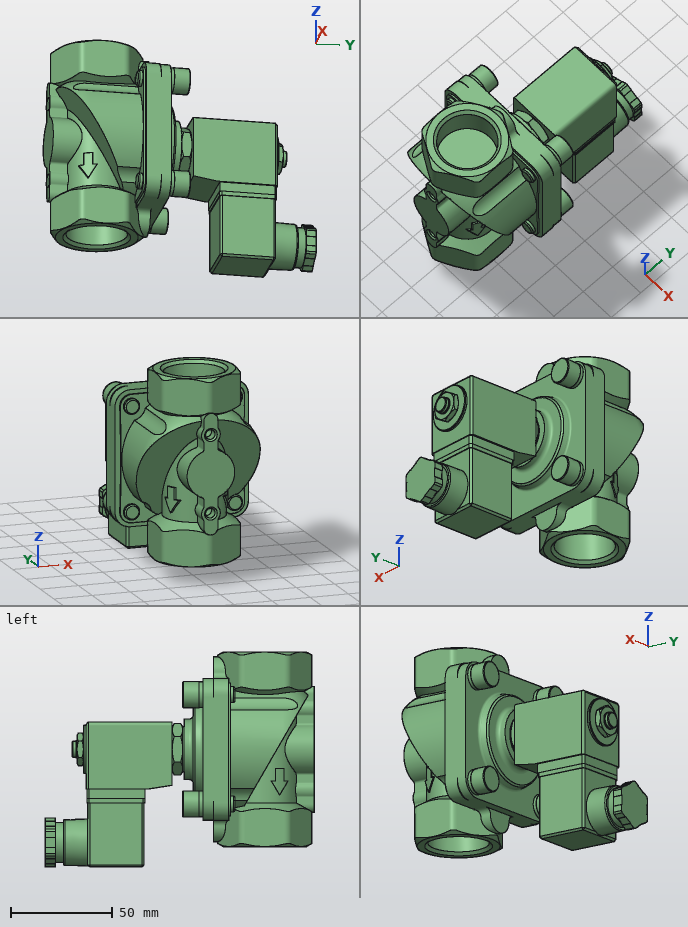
import cadquery as cq
import math


PORT_END = 48.1
PORT_NECK_END = 26.5
HEX_FLATS = 41.3
HEX_CORNER_R = 4.0
HEX_FACE_R = 20.5
HEX_CHAMFER_ANGLE = 30.0
PORT_BORE_D = 30.3
PORT_MOUTH_D = 33.5
PORT_MOUTH_DEPTH = 1.6
PORT_BORE_DEPTH = 16.5
TUBE_R = 16.0

CHAMBER_R = 31.9
CHAMBER_DOME_R = 17.3
CHAMBER_DOME_START = -9.3
CUT_Y = -6.0
CUT_ANGLE = 60.0

FLANGE_SIDE = 70.0
FLANGE_BOTTOM = 18.0
FLANGE_TOP = 25.4
COVER_TOP = 30.5
COVER_CORNER_R = 9.2
LIP_SIDE = 65.6
LIP_CORNER_R = 5.8
LIP_SIDE_HOLLOW = 0.7
LIP_BOTTOM = 16.9
SCREW_PITCH = 54.0
SCREW_HEAD_D = 13.0
SCREW_HEAD_TOP = 40.5
SCREW_HEAD_BOTTOM = 32.4
SCREW_PAD_D = 12.8
SCREW_END = 14.7
SCREW_D = 8.0
SCREW_END_CHAMFER = 0.7
SCREW_HEAD_CHAMFER = 0.4
SCREW_CLEARANCE_R = 7.7

LUG_HALF_WIDTH = 7.7
LUG_END = 45.7
LUG_FOOT_R = 3.0

DISC_R = 23.9
DISC_TAPER = 15.0
DISC_FOOT_FILLET = 1.2
DISC_TOP = 35.3
DISC_EDGE = 0.9
COLLAR_R = 15.0
COLLAR_TOP = 39.9
COLLAR_FILLET = 2.0
TUBE_NUT_FLATS = 22.0
TUBE_NUT_BOTTOM = 40.5
NECK_R = 11.2

BOSS_FACE = -24.5
BOSS_R = 12.5
BOSS_BAR_HALF = 3.7
BOSS_BAR_END = 31.1
BOSS_FILLET = 1.3
BOSS_HOLE_Z = 20.0
BOSS_HOLE_D = 4.9
BOSS_HOLE_MOUTH_D = 6.6
BOSS_HOLE_DEPTH = 6.0
BOSS_PAD_R = 4.9

ARROW_Y = -7.3
ARROW_R = 16.7
ARROW_TOP = -9.4
ARROW_NECK = -15.5
ARROW_TIP = -22.6
ARROW_SHAFT = 4.1
ARROW_HEAD = 8.4

COIL_WIDTH = 30.4
COIL_START = 45.7
COIL_END = 88.2
COIL_TOP = 13.5
COIL_BOTTOM = -19.7
COIL_SLOPE_Y = 57.5
COIL_FRONT_BOTTOM = -17.8
COIL_SIDE_R = 2.0
COIL_END_CHAMFER = 1.2
WASHER_R = 12.0
WASHER_TOP = 89.5
WASHER_CHAMFER = 0.4
END_NUT_FLATS = 14.1
END_NUT_TOP = 92.6
STUD_R = 4.0
STUD_BASE_R = 4.3
STUD_BASE_TOP = 93.3
STUD_TOP = 95.1
STUD_CHAMFER = 0.4

PLUG_WIDTH = 27.6
PLUG_START = 59.5
PLUG_END = 87.4
PLUG_TOP = -26.5
PLUG_BOTTOM = -58.0
PLUG_EDGE = 1.0
GASKET_TOP = -24.3
GASKET_MARGIN = 0.4
GLAND_Z = -46.0
GLAND_BASE_R = 11.7
GLAND_R = 11.4
GLAND_END = 99.4
GLAND_CHAMFER = 0.8
GLAND_NECK_D = 19.9
DIMPLE_D = 5.0
DIMPLE_Y = 95.7
DIMPLE_DEPTH = 0.4
CAP_START = 103.4
CAP_END = 108.4
CAP_FLATS = 21.5
CAP_CORNER_R = 12.1
CAP_RECESS_WIDTH = 4.8
CAP_RECESS_DEPTH = 0.3


def y_plane(y, z=0.0):
    """Workplane with local X along X, local Y along Z and extrusion toward +Y."""
    return cq.Workplane(cq.Plane(origin=(0, y, z), xDir=(-1, 0, 0), normal=(0, 1, 0)))


def y_disc(radius, start, end, z=0.0):
    return y_plane(start, z).circle(radius).extrude(end - start)


def hex_corner_d(flats):
    return flats / math.cos(math.radians(30))


def y_hexagon(flats, start, end):
    """Hexagonal bar along Y with two corners on the Z axis direction."""
    bar = y_plane(start).polygon(6, hex_corner_d(flats)).extrude(end - start)
    return bar.rotate((0, 0, 0), (0, 1, 0), 30)


def y_nut(flats, start, end):
    """Hexagonal nut along Y with its corners chamfered at both ends."""
    rise = (hex_corner_d(flats) - flats) / 2 * math.tan(math.radians(30))
    corner_r = hex_corner_d(flats) / 2
    profile = (
        cq.Workplane("XY")
        .moveTo(0, start)
        .lineTo(flats / 2, start)
        .lineTo(corner_r, start + rise)
        .lineTo(corner_r, end - rise)
        .lineTo(flats / 2, end)
        .lineTo(0, end)
        .close()
    )
    return y_hexagon(flats, start, end).intersect(profile.revolve(360, (0, 0, 0), (0, 1, 0)))


def port():
    """Upper hexagonal port, with the flow tube reaching down to the centre."""
    slope = math.tan(math.radians(HEX_CHAMFER_ANGLE))
    outer_r = hex_corner_d(HEX_FLATS) / 2
    envelope = (
        cq.Workplane("XZ")
        .moveTo(0, PORT_NECK_END)
        .lineTo(TUBE_R, PORT_NECK_END)
        .lineTo(outer_r, PORT_NECK_END + (outer_r - TUBE_R) * slope)
        .lineTo(outer_r, PORT_END - (outer_r - HEX_FACE_R) * slope)
        .lineTo(HEX_FACE_R, PORT_END)
        .lineTo(0, PORT_END)
        .close()
        .revolve(360, (0, 0, 0), (0, 1, 0))
    )
    hexagon = (
        cq.Workplane("XY")
        .workplane(offset=PORT_NECK_END)
        .polygon(6, hex_corner_d(HEX_FLATS))
        .extrude(PORT_END - PORT_NECK_END)
        .edges("|Z")
        .fillet(HEX_CORNER_R)
        .rotate((0, 0, 0), (0, 0, 1), 30)
    )
    tube = cq.Workplane("XY").circle(TUBE_R).extrude(PORT_NECK_END)
    return hexagon.intersect(envelope).union(tube)


def port_bore():
    """Blind bore with a chamfered mouth in the upper port."""
    return (
        cq.Workplane("XZ")
        .moveTo(0, PORT_END - PORT_BORE_DEPTH)
        .lineTo(PORT_BORE_D / 2, PORT_END - PORT_BORE_DEPTH)
        .lineTo(PORT_BORE_D / 2, PORT_END - PORT_MOUTH_DEPTH)
        .lineTo(PORT_MOUTH_D / 2, PORT_END)
        .lineTo(0, PORT_END)
        .close()
        .revolve(360, (0, 0, 0), (0, 1, 0))
    )


def both_ports(shape):
    """The shape and its mirror image below the solenoid axis."""
    return shape.union(shape.mirror("XY"))


def screw_points():
    half = SCREW_PITCH / 2
    return [(x, z) for x in (-half, half) for z in (-half, half)]


def chamber():
    """Domed cylinder cut by a sloping face, with a clearance groove beside each screw."""
    dome_end = CHAMBER_DOME_START - CHAMBER_DOME_R
    wall = y_disc(CHAMBER_R, dome_end, FLANGE_BOTTOM).faces("<Y").edges().fillet(CHAMBER_DOME_R)
    grooves = (
        y_plane(dome_end)
        .pushPoints(screw_points())
        .circle(SCREW_CLEARANCE_R)
        .extrude(LIP_BOTTOM - dome_end)
    )
    reach = 2 * CHAMBER_R
    run = reach / math.tan(math.radians(CUT_ANGLE))
    below_slope = (
        cq.Workplane("YZ")
        .polyline([(CUT_Y - run, reach), (CUT_Y + run, -reach), (CUT_Y - run, -reach)])
        .close()
        .extrude(reach, both=True)
    )
    return wall.cut(grooves).cut(below_slope)


def square_plate(side, corner_r, start, end):
    return y_plane(start).rect(side, side).extrude(end - start).edges("|Y").fillet(corner_r)


def gasket_lip():
    """Thin plate under the flange with two slightly hollow sides."""
    half = LIP_SIDE / 2
    waist = half - LIP_SIDE_HOLLOW
    return (
        y_plane(LIP_BOTTOM)
        .moveTo(-half, -half)
        .lineTo(half, -half)
        .threePointArc((waist, 0), (half, half))
        .lineTo(-half, half)
        .threePointArc((-waist, 0), (-half, -half))
        .close()
        .extrude(FLANGE_BOTTOM - LIP_BOTTOM)
        .edges("|Y")
        .fillet(LIP_CORNER_R)
    )


def flange_and_cover():
    flange_corner_r = (FLANGE_SIDE - SCREW_PITCH) / 2
    lip = gasket_lip()
    flange = square_plate(FLANGE_SIDE, flange_corner_r, FLANGE_BOTTOM, FLANGE_TOP)
    cover = square_plate(FLANGE_SIDE, COVER_CORNER_R, FLANGE_TOP, COVER_TOP)
    return lip.union(flange).union(cover)


def lug():
    """Round-ended lug that stands on the upper flange edge, with filleted feet."""
    foot_z = FLANGE_SIDE / 2
    foot_x = LUG_HALF_WIDTH + LUG_FOOT_R
    side_z = foot_z + LUG_FOOT_R
    inset = LUG_FOOT_R * (1 - math.sqrt(0.5))
    foot_mid = (LUG_HALF_WIDTH + inset, foot_z + inset)
    return (
        y_plane(0)
        .moveTo(-foot_x, 0)
        .lineTo(-foot_x, foot_z)
        .threePointArc((-foot_mid[0], foot_mid[1]), (-LUG_HALF_WIDTH, side_z))
        .threePointArc((0, LUG_END), (LUG_HALF_WIDTH, side_z))
        .threePointArc(foot_mid, (foot_x, foot_z))
        .lineTo(foot_x, 0)
        .close()
        .extrude(FLANGE_TOP)
    )


def screws():
    """Four cover screws: heads on cover pads, chamfered ends below the flange."""
    pads = (
        y_plane(COVER_TOP)
        .pushPoints(screw_points())
        .circle(SCREW_PAD_D / 2)
        .extrude(SCREW_HEAD_BOTTOM - COVER_TOP)
    )
    heads = (
        y_plane(SCREW_HEAD_BOTTOM)
        .pushPoints(screw_points())
        .circle(SCREW_HEAD_D / 2)
        .extrude(SCREW_HEAD_TOP - SCREW_HEAD_BOTTOM)
        .faces(">Y")
        .chamfer(SCREW_HEAD_CHAMFER)
    )
    ends = (
        y_plane(SCREW_END)
        .pushPoints(screw_points())
        .circle(SCREW_D / 2)
        .extrude(FLANGE_BOTTOM - SCREW_END)
        .faces("<Y")
        .chamfer(SCREW_END_CHAMFER)
    )
    return pads.union(heads).union(ends)


def armature_tube():
    """Turned centre of the cover with the hexagon that carries the coil."""
    foot_top = COVER_TOP + DISC_FOOT_FILLET
    foot_inset = DISC_FOOT_FILLET * (1 - math.sqrt(0.5))
    foot_mid = (DISC_R + foot_inset, COVER_TOP + foot_inset)
    side_r = DISC_R - (DISC_TOP - DISC_EDGE - foot_top) * math.tan(math.radians(DISC_TAPER))
    root_r = COLLAR_R + COLLAR_FILLET
    inset = COLLAR_FILLET * (1 - math.sqrt(0.5))
    turned = (
        cq.Workplane("XY")
        .moveTo(0, FLANGE_TOP)
        .lineTo(DISC_R + DISC_FOOT_FILLET, FLANGE_TOP)
        .lineTo(DISC_R + DISC_FOOT_FILLET, COVER_TOP)
        .threePointArc(foot_mid, (DISC_R, foot_top))
        .lineTo(side_r, DISC_TOP - DISC_EDGE)
        .lineTo(side_r - DISC_EDGE, DISC_TOP)
        .lineTo(root_r, DISC_TOP)
        .threePointArc((COLLAR_R + inset, DISC_TOP + inset), (COLLAR_R, DISC_TOP + COLLAR_FILLET))
        .lineTo(COLLAR_R, COLLAR_TOP)
        .lineTo(NECK_R, COLLAR_TOP)
        .lineTo(NECK_R, TUBE_NUT_BOTTOM)
        .lineTo(0, TUBE_NUT_BOTTOM)
        .close()
        .revolve(360, (0, 0, 0), (0, 1, 0))
    )
    return turned.union(y_nut(TUBE_NUT_FLATS, TUBE_NUT_BOTTOM, COIL_START))


def mounting_boss():
    """Round boss crossed by a round-ended bar with a pad around each hole."""
    depth = -BOSS_FACE
    bar_length = 2 * BOSS_BAR_END
    disc = y_disc(BOSS_R, BOSS_FACE, 0)
    bar = y_plane(BOSS_FACE).slot2D(bar_length, 2 * BOSS_BAR_HALF, 90).extrude(depth)
    hole_points = [(0, BOSS_HOLE_Z), (0, -BOSS_HOLE_Z)]
    pads = y_plane(BOSS_FACE).pushPoints(hole_points).circle(BOSS_PAD_R).extrude(depth)
    joint_reach = BOSS_HOLE_Z + BOSS_PAD_R
    inner_corners = cq.selectors.BoxSelector(
        (-BOSS_PAD_R, BOSS_FACE - 1.3, -joint_reach),
        (BOSS_PAD_R, 1.3, joint_reach),
    )
    boss = disc.union(bar).union(pads)
    return boss.edges("|Y").edges(inner_corners).fillet(BOSS_FILLET)


def boss_hole(z):
    """Drilled hole with a countersunk mouth and a pointed end."""
    mouth_depth = (BOSS_HOLE_MOUTH_D - BOSS_HOLE_D) / 2
    point = BOSS_HOLE_D / 2 * math.tan(math.radians(30))
    return (
        cq.Workplane("XY", origin=(0, BOSS_FACE, z))
        .lineTo(BOSS_HOLE_MOUTH_D / 2, 0)
        .lineTo(BOSS_HOLE_D / 2, mouth_depth)
        .lineTo(BOSS_HOLE_D / 2, BOSS_HOLE_DEPTH)
        .lineTo(0, BOSS_HOLE_DEPTH + point)
        .close()
        .revolve(360, (0, 0, 0), (0, 1, 0))
    )


def arrows():
    """Raised flow arrows on both sides of the tube, pointing down."""
    outline = [
        (ARROW_Y - ARROW_SHAFT / 2, ARROW_TOP),
        (ARROW_Y + ARROW_SHAFT / 2, ARROW_TOP),
        (ARROW_Y + ARROW_SHAFT / 2, ARROW_NECK),
        (ARROW_Y + ARROW_HEAD / 2, ARROW_NECK),
        (ARROW_Y, ARROW_TIP),
        (ARROW_Y - ARROW_HEAD / 2, ARROW_NECK),
        (ARROW_Y - ARROW_SHAFT / 2, ARROW_NECK),
    ]
    bars = cq.Workplane("YZ").polyline(outline).close().extrude(ARROW_R, both=True)
    sleeve = cq.Workplane("XY").circle(ARROW_R).extrude(-PORT_NECK_END)
    return bars.intersect(sleeve)


def build_valve():
    valve = both_ports(port()).union(chamber()).union(flange_and_cover())
    for feature in (both_ports(lug()), screws(), armature_tube(), mounting_boss(), arrows()):
        valve = valve.union(feature)
    for z in (BOSS_HOLE_Z, -BOSS_HOLE_Z):
        valve = valve.cut(boss_hole(z))
    return valve.cut(both_ports(port_bore()))


def build_coil():
    """Coil housing with a pedestal for the plug and its end nut."""
    housing = (
        cq.Workplane("YZ")
        .polyline(
            [
                (COIL_START, COIL_TOP),
                (COIL_END, COIL_TOP),
                (COIL_END, COIL_BOTTOM),
                (COIL_SLOPE_Y, COIL_BOTTOM),
                (COIL_START, COIL_FRONT_BOTTOM),
            ]
        )
        .close()
        .extrude(COIL_WIDTH / 2, both=True)
        .edges("|Y and >Z")
        .fillet(COIL_SIDE_R)
        .faces(">Y")
        .edges("not <Z")
        .chamfer(COIL_END_CHAMFER)
    )
    pedestal = plug_block(COIL_BOTTOM, GASKET_TOP, GASKET_MARGIN).edges("|Z and >Y").chamfer(PLUG_EDGE)
    washer = y_disc(WASHER_R, COIL_END, WASHER_TOP).faces(">Y").chamfer(WASHER_CHAMFER)
    stud_base = y_disc(STUD_BASE_R, END_NUT_TOP, STUD_BASE_TOP)
    stud = y_disc(STUD_R, STUD_BASE_TOP, STUD_TOP).faces(">Y").chamfer(STUD_CHAMFER)
    end_nut = y_nut(END_NUT_FLATS, WASHER_TOP, END_NUT_TOP)
    return housing.union(pedestal).union(washer).union(end_nut).union(stud_base).union(stud)


def plug_block(top, bottom, margin=0.0):
    """Upright block with the plug's outline, wider by the margin all round."""
    return (
        cq.Workplane("XY", origin=(0, (PLUG_START + PLUG_END) / 2, bottom))
        .rect(PLUG_WIDTH + 2 * margin, PLUG_END - PLUG_START + 2 * margin)
        .extrude(top - bottom)
    )


def gland():
    """Turned cable outlet, slightly tapered, with a narrower neck."""
    turned = (
        cq.Workplane("XY", origin=(0, 0, GLAND_Z))
        .moveTo(0, PLUG_END - PLUG_EDGE)
        .lineTo(GLAND_BASE_R, PLUG_END - PLUG_EDGE)
        .lineTo(GLAND_R, GLAND_END - GLAND_CHAMFER)
        .lineTo(GLAND_R - GLAND_CHAMFER / 2, GLAND_END)
        .lineTo(GLAND_NECK_D / 2, GLAND_END)
        .lineTo(GLAND_NECK_D / 2, CAP_START)
        .lineTo(0, CAP_START)
        .close()
        .revolve(360, (0, 0, 0), (0, 1, 0))
    )
    floor_z = GLAND_Z + GLAND_R - DIMPLE_DEPTH
    dimple = cq.Workplane("XY", origin=(0, DIMPLE_Y, floor_z)).circle(DIMPLE_D / 2).extrude(GLAND_R)
    return turned.cut(dimple)


def cap():
    """Hexagonal clamping cap with a shallow recess along the middle of each side."""
    blank = y_hexagon(CAP_FLATS, CAP_START, CAP_END).intersect(y_disc(CAP_CORNER_R, CAP_START, CAP_END))
    recess = (
        y_plane(CAP_START)
        .center(CAP_FLATS / 2, 0)
        .rect(2 * CAP_RECESS_DEPTH, CAP_RECESS_WIDTH)
        .extrude(CAP_END - CAP_START)
    )
    for side in range(6):
        blank = blank.cut(recess.rotate((0, 0, 0), (0, 1, 0), 60 * side))
    return blank.translate((0, 0, GLAND_Z))


def build_plug():
    """Plug housing with its gasket, cable outlet and cap."""
    block = plug_block(PLUG_TOP, PLUG_BOTTOM).edges("|Z or <Z").chamfer(PLUG_EDGE)
    gasket = plug_block(GASKET_TOP, PLUG_TOP, GASKET_MARGIN).edges("|Z").chamfer(PLUG_EDGE)
    return block.union(gasket).union(gland()).union(cap())


valve = build_valve()
coil = build_coil()
plug = build_plug()

result = cq.Compound.makeCompound([valve.val(), coil.val(), plug.val()])